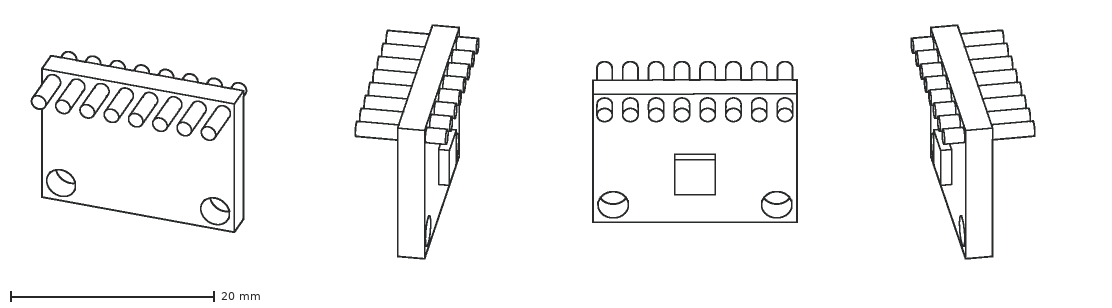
import cadquery as cq

board_width = 20.1
board_thickness = 2.7
board_height = 14.7

pin_count = 8
pin_pitch = 2.53
pin_diameter = 1.5
first_pin_inset = 1.2
pin_length = 9.0
pin_back_length = 2.0
pin_drop = 1.2

hole_diameter = 3.0
hole_inset = 2.0

chip_side = 4.0
chip_thickness = 1.09
chip_bottom = 3.8

back_face = board_thickness / 2
pin_back_end = back_face + pin_back_length


def cylinder_along_y(x, z, diameter, back_end, length):
    """Cylinder running from back_end towards -Y."""
    workplane = cq.Workplane("XZ", origin=(x, back_end, z))
    return workplane.circle(diameter / 2).extrude(length)


def make_board():
    board = cq.Workplane("XY").box(
        board_width, board_thickness, board_height, centered=(True, True, False)
    )
    hole_x = board_width / 2 - hole_inset
    for x in (-hole_x, hole_x):
        board = board.cut(
            cylinder_along_y(x, hole_inset, hole_diameter, back_face, board_thickness)
        )
    return board


def make_chip():
    chip = cq.Workplane("XY").box(
        chip_side, chip_thickness, chip_side, centered=(True, False, False)
    )
    return chip.translate((0, back_face, chip_bottom))


result = make_board().union(make_chip())

first_pin_x = -board_width / 2 + first_pin_inset
pin_z = board_height - pin_drop
for index in range(pin_count):
    pin_x = first_pin_x + index * pin_pitch
    result = result.union(
        cylinder_along_y(pin_x, pin_z, pin_diameter, pin_back_end, pin_length)
    )